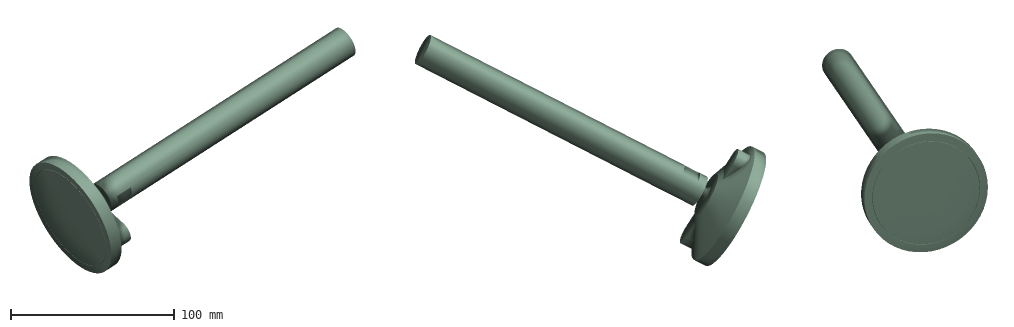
import cadquery as cq

total_length = 220.0

foot_diameter = 78.0
rim_height = 8.1
foot_height = 20.0
crown_diameter = 29.0

pad_diameter = 67.5
pad_seat_diameter = 68.0
pad_joint_depth = 2.2

lug_width = 14.5
lug_end_center = 28.8
lug_top = 18.0

collar_diameter = 10.5
collar_top = 21.3
neck_diameter = 7.7

rod_diameter = 20.0
rod_start = 24.6
flat_spacing = 17.0
flat_start = 30.1
flat_length = 11.0


def disc(diameter, start, end):
    """Solid cylinder along +Y between two positions."""
    plane = cq.Workplane("XZ", origin=(0, start, 0))
    return plane.circle(diameter / 2).extrude(start - end)


def make_foot():
    """Cylindrical rim topped by a truncated cone."""
    profile = [
        (0, 0),
        (foot_diameter / 2, 0),
        (foot_diameter / 2, rim_height),
        (crown_diameter / 2, foot_height),
        (0, foot_height),
    ]
    return cq.Workplane("XY").polyline(profile).close().revolve(360, (0, 0, 0), (0, 1, 0))


def make_lugs():
    """Round-ended bar whose two ends stand out of the cone."""
    slot_length = 2 * lug_end_center + lug_width
    plane = cq.Workplane("XZ", origin=(0, rim_height / 2, 0))
    return plane.slot2D(slot_length, lug_width).extrude(rim_height / 2 - lug_top)


def make_neck():
    """Tapered collar on the crown and the thin neck up to the rod."""
    profile = [
        (0, 0),
        (collar_diameter / 2, 0),
        (collar_diameter / 2, foot_height),
        (neck_diameter / 2, collar_top),
        (neck_diameter / 2, rod_start),
        (0, rod_start),
    ]
    return cq.Workplane("XY").polyline(profile).close().revolve(360, (0, 0, 0), (0, 1, 0))


def make_rod():
    """Round rod with two opposite flats near its lower end."""
    rod = disc(rod_diameter, rod_start, total_length)
    cut_center_x = (flat_spacing + rod_diameter) / 2
    for side in (-1, 1):
        cutter = cq.Workplane("XY").box(rod_diameter, flat_length, rod_diameter)
        cutter = cutter.translate((
            side * cut_center_x,
            flat_start + flat_length / 2,
            0,
        ))
        rod = rod.cut(cutter)
    return rod


def make_pad_joint():
    """Narrow ring groove that separates the pad from the foot."""
    seat = disc(pad_seat_diameter, 0, pad_joint_depth)
    return seat.cut(disc(pad_diameter, 0, pad_joint_depth))


body = make_foot().union(make_lugs()).union(make_neck()).union(make_rod())
result = body.cut(make_pad_joint())